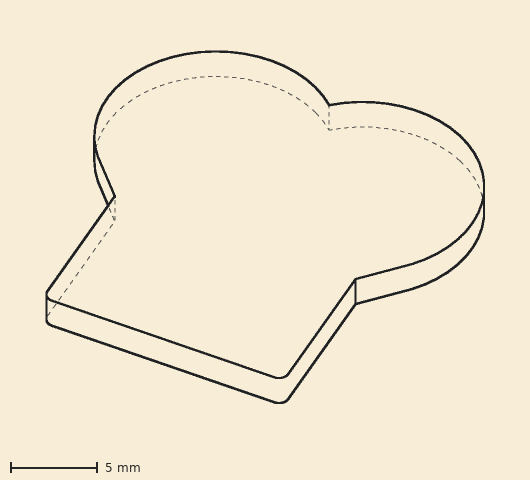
import cadquery as cq
import math

width = 23.52
length = 23.47
thickness = 2.02

lobe_radius = 7.03
lobe_x = width / 2 - lobe_radius
lobe_y = length - lobe_radius
notch_y = lobe_y + math.sqrt(lobe_radius**2 - lobe_x**2)

stem_half_width = 7.75
stem_height = 9.38
corner_radius = 0.59

flank_top_y = 11.92
flank_top_x = lobe_x + math.sqrt(lobe_radius**2 - (lobe_y - flank_top_y) ** 2)

plate = (
    cq.Workplane("XY")
    .moveTo(-stem_half_width, 0)
    .lineTo(stem_half_width, 0)
    .lineTo(stem_half_width, stem_height)
    .lineTo(flank_top_x, flank_top_y)
    .threePointArc((lobe_x, length), (0, notch_y))
    .threePointArc((-lobe_x, length), (-flank_top_x, flank_top_y))
    .lineTo(-stem_half_width, stem_height)
    .close()
    .extrude(thickness)
)

result = plate.edges("|Z and <Y").fillet(corner_radius)